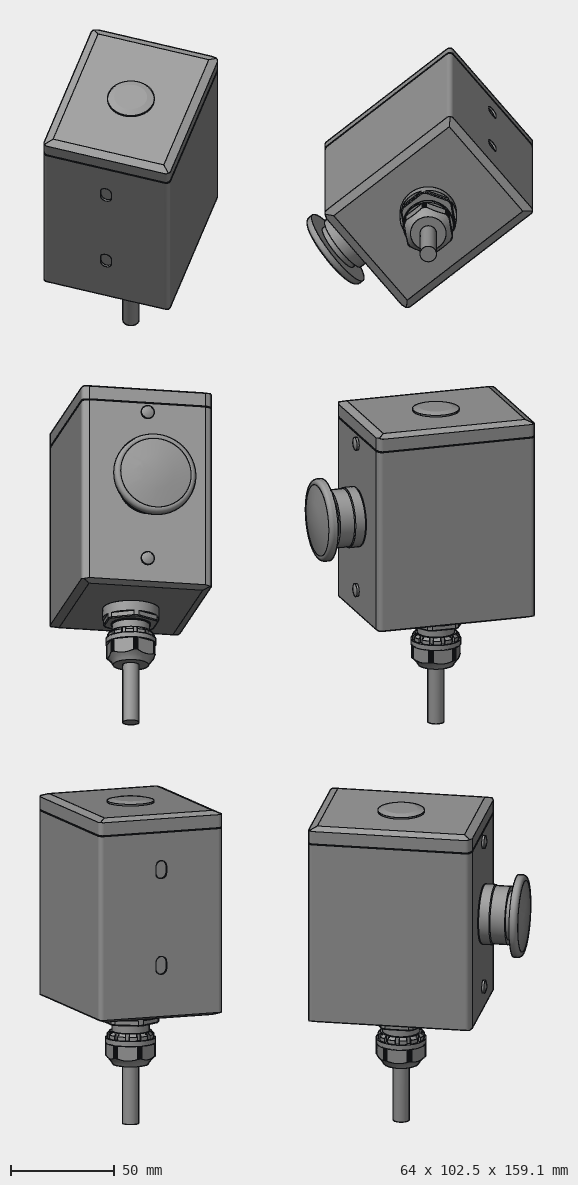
import cadquery as cq
import math

BOX_WIDTH = 64.0
BOX_DEPTH = 80.0
BOX_HEIGHT = 100.0
BACK_Y = BOX_DEPTH / 2
CORNER_RADIUS = 2.2
BACK_BEVEL_WIDTH = 3.3
BACK_BEVEL_DROP = 1.3
END_BEVEL_WIDTH = 4.0
END_BEVEL_HEIGHT = 1.6
LID_HEIGHT = 8.0
LID_SEAM_HEIGHT = 0.5
LID_SEAM_DEPTH = 0.2

SLOT_WIDTH = 5.5
SLOT_LENGTH = 8.7
SLOT_DEPTH = 1.1
SLOT_SPACING = 47.0

CAP_RADIUS = 11.3
CAP_TOP_RADIUS = 8.0
CAP_RIM_HEIGHT = 0.8
CAP_HEIGHT = 1.6

SCREW_RADIUS = 3.2
SCREW_RIM_HEIGHT = 1.1
SCREW_HEIGHT = 1.9
SCREW_SPACING = 74.0

BUTTON_Z = BOX_HEIGHT / 2 + 0.2
GASKET_RADIUS = 14.2
GASKET_END = 0.5
RING_RADIUS = 14.6
RING_END = 5.5
RING_CHAMFER = 0.5
SLEEVE_RADIUS = RING_RADIUS - RING_CHAMFER
SLEEVE_END = 13.2
STEM_RADIUS = 12.0
STEM_END = 16.4
HEAD_RADIUS = 20.0
HEAD_RIM_END = 18.3
DOME_RADIUS = 17.3
DOME_START = 20.2
DOME_END = 22.5

HEX_SIDES = 6
HEX_STEP = 360 / HEX_SIDES
FLANGE_RADIUS = 13.7
FLANGE_END = 5.0
LOCKNUT_FLATS = 24.8
LOCKNUT_CORNERS = 27.4
LOCKNUT_END = 7.6
LOCKNUT_CHAMFER = 0.5
SHOULDER_RADIUS = 9.5
SHOULDER_END = 8.1
NECK_RADIUS = 9.0
CLAW_START = 12.0
CLAW_COUNT = 12
CLAW_GAP = 1.9
CLAW_GAP_ROOT = 10.0
CLAW_TIP_RADIUS = 10.0
CLAW_RADIUS = 11.3
CLAW_TAPER_END = 13.4
COLLAR_RADIUS = 12.1
COLLAR_START = 15.3
COLLAR_END = 17.8
NUT_FLATS = 21.8
NUT_CORNERS = 24.3
NUT_CORNER_END = 24.0
NUT_TAPER_RADIUS = 9.9
NUT_TAPER_END = 26.2
NUT_TIP_RADIUS = 8.6
NUT_END = 28.3
GRIP_GROOVES = 3
GRIP_GROOVE_WIDTH = 0.5
GRIP_GROOVE_DEPTH = 0.3
GRIP_GROOVE_ANGLE = 4.5
CABLE_RADIUS = 4.0
CABLE_END = 57.5


def disc(radius, start, end):
    """Cylinder about the Z axis, between two depths below the box."""
    return cq.Workplane("XY").workplane(offset=-end).circle(radius).extrude(end - start)


def hexagon(flats, start, end):
    """Hexagonal prism with flats facing -X and +X."""
    corners = flats / math.cos(math.radians(HEX_STEP / 2))
    prism = cq.Workplane("XY").workplane(offset=-end).polygon(HEX_SIDES, corners).extrude(end - start)
    return prism.rotate((0, 0, 0), (0, 0, 1), HEX_STEP / 2)


def bevelled_profile(half_width):
    """Upright outline of the box, bevelled along its top and bottom edges."""
    inner = half_width - END_BEVEL_WIDTH
    upper = BOX_HEIGHT - END_BEVEL_HEIGHT
    return [
        (-inner, 0),
        (inner, 0),
        (half_width, END_BEVEL_HEIGHT),
        (half_width, upper),
        (inner, BOX_HEIGHT),
        (-inner, BOX_HEIGHT),
        (-half_width, upper),
        (-half_width, END_BEVEL_HEIGHT),
    ]


def upright(half_width, half_depth):
    """Vertical prism with rounded corners and two bevelled edges at +Y."""
    bevel_y = half_depth - BACK_BEVEL_DROP
    bevel_x = half_width - BACK_BEVEL_WIDTH
    outline = [
        (-half_width, -half_depth),
        (half_width, -half_depth),
        (half_width, bevel_y),
        (bevel_x, half_depth),
        (-bevel_x, half_depth),
        (-half_width, bevel_y),
    ]
    prism = cq.Workplane("XY").polyline(outline).close().extrude(BOX_HEIGHT)
    return prism.edges("|Z and (<X or >X)").fillet(CORNER_RADIUS)


def make_box():
    half_width = BOX_WIDTH / 2
    half_depth = BOX_DEPTH / 2
    box = upright(half_width, half_depth)
    along_y = cq.Workplane("XZ").polyline(bevelled_profile(half_width)).close()
    along_x = cq.Workplane("YZ").polyline(bevelled_profile(half_depth)).close()
    box = box.intersect(along_y.extrude(half_depth, both=True))
    box = box.intersect(along_x.extrude(half_width, both=True))
    return box.cut(make_lid_seam(half_width, half_depth))


def make_lid_seam(half_width, half_depth):
    """Shallow band around the box, to be cut away under the lid."""
    core = upright(half_width - LID_SEAM_DEPTH, half_depth - LID_SEAM_DEPTH)
    band = cq.Workplane("XY").workplane(offset=BOX_HEIGHT - LID_HEIGHT - LID_SEAM_HEIGHT)
    return band.rect(BOX_WIDTH, BOX_DEPTH).extrude(LID_SEAM_HEIGHT).cut(core)


def make_slots():
    wall = cq.Workplane("XZ", origin=(0, -BOX_DEPTH / 2, BOX_HEIGHT / 2))
    places = [(0, -SLOT_SPACING / 2), (0, SLOT_SPACING / 2)]
    return wall.pushPoints(places).slot2D(SLOT_LENGTH, SLOT_WIDTH, 90).extrude(-SLOT_DEPTH)


def make_cap():
    outline = [
        (0, 0),
        (CAP_RADIUS, 0),
        (CAP_RADIUS, CAP_RIM_HEIGHT),
        (CAP_TOP_RADIUS, CAP_HEIGHT),
        (0, CAP_HEIGHT),
    ]
    cap = cq.Workplane("XZ").polyline(outline).close().revolve(360, (0, 0, 0), (0, 1, 0))
    return cap.translate((0, 0, BOX_HEIGHT))


def dome_point(radius, edge, top, at_radius):
    """Point on the arc that falls from `top` on the axis to `edge` at `radius`."""
    rise = top - edge
    sphere = (radius**2 + rise**2) / (2 * rise)
    return (at_radius, top - sphere + math.sqrt(sphere**2 - at_radius**2))


def turned_on_back(profile, z):
    """Turn an X-Y profile about Y and set it on the +Y wall at height z."""
    return profile.close().revolve(360, (0, 0, 0), (0, 1, 0)).translate((0, BACK_Y, z))


def make_screw(z):
    middle = dome_point(SCREW_RADIUS, SCREW_RIM_HEIGHT, SCREW_HEIGHT, SCREW_RADIUS / 2)
    profile = cq.Workplane("XY").lineTo(SCREW_RADIUS, 0).lineTo(SCREW_RADIUS, SCREW_RIM_HEIGHT)
    return turned_on_back(profile.threePointArc(middle, (0, SCREW_HEIGHT)), z)


def make_button():
    steps = [
        (0, 0),
        (GASKET_RADIUS, 0),
        (GASKET_RADIUS, GASKET_END),
        (RING_RADIUS, GASKET_END),
        (RING_RADIUS, RING_END),
        (SLEEVE_RADIUS, RING_END + RING_CHAMFER),
        (SLEEVE_RADIUS, SLEEVE_END),
        (STEM_RADIUS, SLEEVE_END),
        (STEM_RADIUS, STEM_END),
        (HEAD_RADIUS, STEM_END),
        (HEAD_RADIUS, HEAD_RIM_END),
    ]
    middle = dome_point(DOME_RADIUS, DOME_START, DOME_END, DOME_RADIUS / 2)
    profile = cq.Workplane("XY").polyline(steps)
    profile = profile.tangentArcPoint((DOME_RADIUS, DOME_START), relative=False)
    return turned_on_back(profile.threePointArc(middle, (0, DOME_END)), BUTTON_Z)


def make_locknut():
    nut = hexagon(LOCKNUT_FLATS, FLANGE_END, LOCKNUT_END)
    nut = nut.intersect(disc(LOCKNUT_CORNERS / 2, FLANGE_END, LOCKNUT_END))
    return nut.faces("<Z").chamfer(LOCKNUT_CHAMFER)


def make_claws():
    """Tapered ring split into claws by radial gaps."""
    outline = [
        (0, -CLAW_START),
        (CLAW_TIP_RADIUS, -CLAW_START),
        (CLAW_RADIUS, -CLAW_TAPER_END),
        (CLAW_RADIUS, -COLLAR_START),
        (0, -COLLAR_START),
    ]
    claws = cq.Workplane("XZ").polyline(outline).close().revolve(360, (0, 0, 0), (0, 1, 0))
    reach = COLLAR_RADIUS - CLAW_GAP_ROOT
    height = COLLAR_START - CLAW_START
    gaps = (
        cq.Workplane("XY")
        .workplane(offset=-COLLAR_START)
        .polarArray(CLAW_GAP_ROOT + reach / 2, 0, 360, CLAW_COUNT)
        .rect(reach, CLAW_GAP)
        .extrude(height)
    )
    return claws.cut(gaps)


def make_gland_nut():
    """Hexagonal nut with rounded, grooved corners and a tapered tip."""
    corner_radius = NUT_CORNERS / 2
    profile = (
        cq.Workplane("XZ", origin=(0, 0, -COLLAR_END))
        .lineTo(corner_radius, 0)
        .lineTo(corner_radius, COLLAR_END - NUT_CORNER_END)
        .threePointArc(
            (NUT_TAPER_RADIUS, COLLAR_END - NUT_TAPER_END),
            (NUT_TIP_RADIUS, COLLAR_END - NUT_END),
        )
        .lineTo(0, COLLAR_END - NUT_END)
    )
    blank = profile.close().revolve(360, (0, 0, 0), (0, 1, 0))
    nut = blank.intersect(hexagon(NUT_FLATS, COLLAR_END, NUT_END))
    for corner in range(HEX_SIDES):
        for groove in range(GRIP_GROOVES):
            shift = (groove - (GRIP_GROOVES - 1) / 2) * GRIP_GROOVE_ANGLE
            angle = (corner + 0.5) * HEX_STEP + shift
            cutter = (
                cq.Workplane("XY", origin=(corner_radius, 0, -NUT_CORNER_END))
                .rect(2 * GRIP_GROOVE_DEPTH, GRIP_GROOVE_WIDTH)
                .extrude(NUT_CORNER_END - COLLAR_END)
            )
            nut = nut.cut(cutter.rotate((0, 0, 0), (0, 0, 1), angle))
    return nut


def make_gland():
    gland = disc(FLANGE_RADIUS, 0, FLANGE_END)
    gland = gland.union(make_locknut())
    gland = gland.union(disc(SHOULDER_RADIUS, LOCKNUT_END, SHOULDER_END))
    gland = gland.union(disc(NECK_RADIUS, LOCKNUT_END, CLAW_START))
    gland = gland.union(make_claws())
    gland = gland.union(disc(COLLAR_RADIUS, COLLAR_START, COLLAR_END))
    gland = gland.union(make_gland_nut())
    return gland.union(disc(CABLE_RADIUS, NUT_END, CABLE_END))


result = make_box().cut(make_slots()).union(make_cap()).union(make_button())
for side in (-1, 1):
    result = result.union(make_screw(BOX_HEIGHT / 2 + side * SCREW_SPACING / 2))
result = result.union(make_gland())